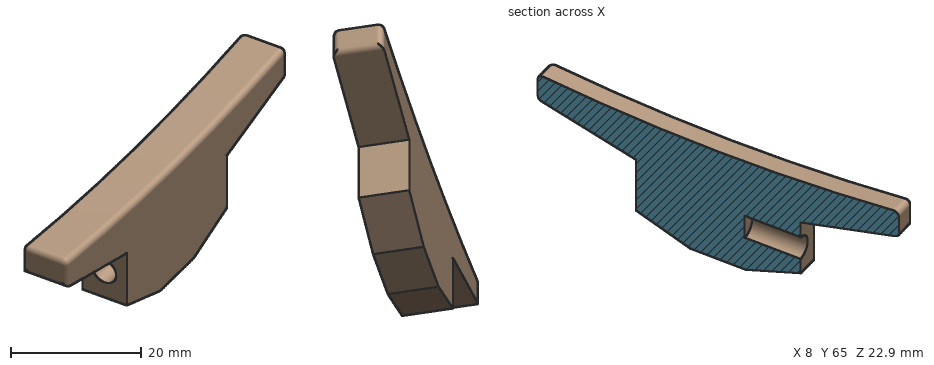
import cadquery as cq
import math

thickness = 8.0
length = 65.0
mid_height = 21.28
top_radius = 308.0

block_width = 29.6
block_side_height = 10.0
foot_width = 10.0
block_bottom = 3.43
wing_angle = 14.5

edge_radius = 1.0

hole_diameter = 4.2
hole_depth = 10.0

half_length = length / 2
half_block = block_width / 2
half_foot = foot_width / 2
block_top = block_bottom + block_side_height
tip_bottom = block_top + (half_length - half_block) * math.tan(math.radians(wing_angle))
tip_top = mid_height + top_radius - math.sqrt(top_radius**2 - half_length**2)


def make_body():
    """T-shaped profile in the YZ plane, extruded symmetrically along X."""
    return (
        cq.Workplane("YZ")
        .moveTo(-half_foot, 0)
        .lineTo(half_foot, 0)
        .lineTo(half_block, block_bottom)
        .lineTo(half_block, block_top)
        .lineTo(half_length, tip_bottom)
        .lineTo(half_length, tip_top)
        .threePointArc((0, mid_height), (-half_length, tip_top))
        .lineTo(-half_length, tip_bottom)
        .lineTo(-half_block, block_top)
        .lineTo(-half_block, block_bottom)
        .close()
        .extrude(thickness / 2, both=True)
    )


def round_edges(body):
    """Round every edge of both end faces and the long edges of the top."""
    return body.faces("<Y or >Y").edges().add(body.edges("%CIRCLE")).fillet(edge_radius)


def make_hole():
    """Cylinder running inward from the middle of the block's -Y face."""
    hole_height = block_bottom + block_side_height / 2
    return (
        cq.Workplane("XZ", origin=(0, -half_block, hole_height))
        .circle(hole_diameter / 2)
        .extrude(-hole_depth)
    )


result = round_edges(make_body()).cut(make_hole())